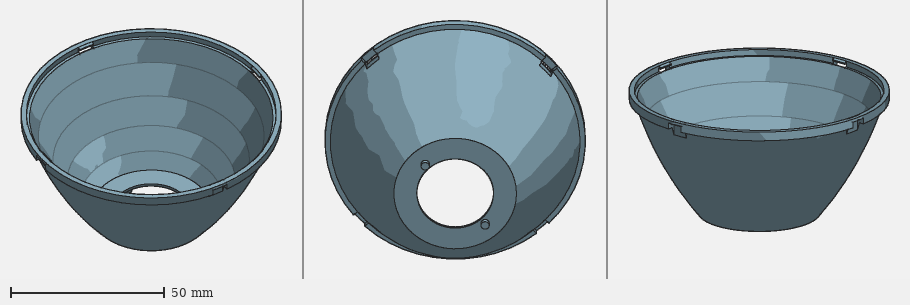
import cadquery as cq
body_height = 42.0
base_radius = 20.0
floor_thickness = 1.0
lamp_hole_diameter = 25.0

rim_radius = 42.5
rim_height = 3.0
recess_radius = 40.75
recess_depth = 2.0
rim_underside = body_height - rim_height
recess_floor = body_height - recess_depth

wall_middle_radius = 33.0
wall_middle_height = 20.0
wall_top_radius = 40.75

reflector_rings = [
    (19.4, floor_thickness),
    (22.9, 6.2),
    (27.4, 13.3),
    (32.05, 22.1),
    (36.85, 32.3),
    (39.75, recess_floor),
]

window_width = 5.4
window_height = 5.0
window_top = body_height - 1.0
window_bottom = window_top - window_height
window_inner_radius = 39.9
bar_overhang = 5.0
bar_length = 2 * (rim_radius + bar_overhang)
core_seam_angle = 45

lip_inner_radius = 40.05
lip_face_height = 0.4
lip_face_top = window_top + lip_face_height
lip_root_radius = (recess_radius + rim_radius) / 2

pin_diameter = 2.7
pin_length = 1.7
pin_offset = 14.5


profile_plane = cq.Plane(origin=(0, 0, 0), xDir=(0, -1, 0), normal=(-1, 0, 0))


def make_bowl():
    """Revolve the solid outside shape and remove the revolved inside shape."""
    outside = (
        cq.Workplane(profile_plane)
        .lineTo(base_radius, 0)
        .spline(
            [(wall_middle_radius, wall_middle_height), (wall_top_radius, rim_underside)],
            includeCurrent=True,
        )
        .lineTo(rim_radius, rim_underside)
        .lineTo(rim_radius, body_height)
        .lineTo(0, body_height)
        .close()
        .revolve(360, (0, 0), (0, 1))
    )
    inside = (
        cq.Workplane(profile_plane)
        .moveTo(0, floor_thickness)
        .polyline(reflector_rings, includeCurrent=True)
        .lineTo(recess_radius, recess_floor)
        .lineTo(recess_radius, body_height)
        .lineTo(0, body_height)
        .close()
        .revolve(360, (0, 0), (0, 1))
    )
    lamp_hole = cq.Workplane("XY").circle(lamp_hole_diameter / 2).extrude(floor_thickness)
    return outside.cut(inside).cut(lamp_hole)


def make_crossed_bars(bottom, top):
    """Two crossed bars, one window wide, that reach past the rim on all four sides."""
    base = cq.Workplane("XY", origin=(0, 0, bottom))
    bar_along_x = base.rect(bar_length, window_width).extrude(top - bottom)
    bar_along_y = base.rect(window_width, bar_length).extrude(top - bottom)
    return bar_along_x.union(bar_along_y)


def make_window_cutter():
    """Crossed bars hollowed by a cylinder that forms the inner faces of the windows."""
    base = cq.Workplane("XY", origin=(0, 0, window_bottom))
    core = base.circle(window_inner_radius).extrude(window_height)
    core = core.rotate((0, 0, 0), (0, 0, 1), core_seam_angle)
    return make_crossed_bars(window_bottom, window_top).cut(core)


def make_lips():
    """Ring with a sloped top inside the recess, kept only above the four windows."""
    ring = (
        cq.Workplane(profile_plane)
        .moveTo(lip_root_radius, window_top)
        .lineTo(lip_inner_radius, window_top)
        .lineTo(lip_inner_radius, lip_face_top)
        .lineTo(recess_radius, body_height)
        .lineTo(lip_root_radius, body_height)
        .close()
        .revolve(360, (0, 0), (0, 1))
    )
    return ring.intersect(make_crossed_bars(window_top, body_height))


def make_pins():
    """Pair of pins on the X axis, hanging below the floor."""
    return (
        cq.Workplane("XY")
        .pushPoints([(-pin_offset, 0), (pin_offset, 0)])
        .circle(pin_diameter / 2)
        .extrude(-pin_length)
    )


result = make_bowl().cut(make_window_cutter()).union(make_lips()).union(make_pins())